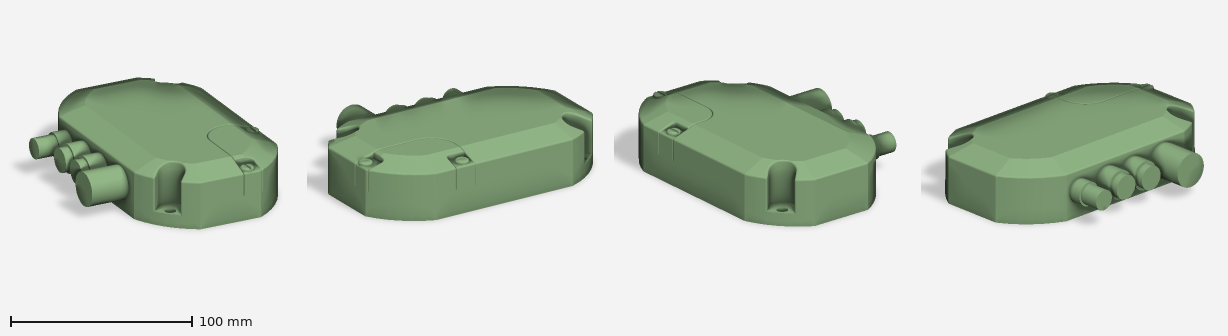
import cadquery as cq
import math

length = 149.51
width = 89.0
height = 33.0
base_height = 28.0
top_flat_inset = 14.85
straight_half_x = 45.0
straight_half_y = 18.8
corner_bulge = 3.5
rim_radius = 1.25
tolerance = 0.01

notch_center = (57.7, -28.0)
notch_radius = 7.6
notch_floor = 7.8
notch_edge_radius = 1.0
mount_hole_center = (59.85, -29.9)
mount_hole_diameter = 6.5
notch_direction = -45

cover_x = 19.2
cover_y = 8.6
cover_corner_radius = 15.0
surround_edge_radius = 1.0
cover_edge_radius = 0.9
cover_cut_floor = 15.0

pad_size_x = 12.1
pad_size_y = 11.0
pad_floor = 28.2
pad_corner_radius = 2.0
rear_pad_corner = (cover_x, width / 2 - pad_size_y)
side_pad_corner = (length / 2 - pad_size_x, cover_y)
screw_centers = [(24.5, 39.45), (70.45, 12.5)]
screw_diameter = 8.0
screw_top = 30.3
screw_edge_radius = 1.3
screw_slot_width = 1.5
screw_slot_depth = 1.0

connector_z = 16.0
connector_overlap = 1.0
connectors = [
    (-35.9, [(14.2, 8.1), (12.0, 20.2)]),
    (-14.4, [(17.2, 10.4), (14.2, 15.3)]),
    (4.8, [(17.2, 10.4), (14.2, 15.3)]),
    (28.1, [(20.0, 22.52)]),
]


def corner_arc_middle(sign_x, sign_y):
    """Middle point of the shallow arc across one corner of the outline."""
    start = (straight_half_x, width / 2)
    end = (length / 2, straight_half_y)
    chord_x = end[0] - start[0]
    chord_y = end[1] - start[1]
    chord = math.hypot(chord_x, chord_y)
    x = (start[0] + end[0]) / 2 - chord_y / chord * corner_bulge
    y = (start[1] + end[1]) / 2 + chord_x / chord * corner_bulge
    return (sign_x * x, sign_y * y)


def outline(plane_z):
    half_x = length / 2
    half_y = width / 2
    return (
        cq.Workplane("XY", origin=(0, 0, plane_z))
        .moveTo(-straight_half_x, -half_y)
        .lineTo(straight_half_x, -half_y)
        .threePointArc(corner_arc_middle(1, -1), (half_x, -straight_half_y))
        .lineTo(half_x, straight_half_y)
        .threePointArc(corner_arc_middle(1, 1), (straight_half_x, half_y))
        .lineTo(-straight_half_x, half_y)
        .threePointArc(corner_arc_middle(-1, 1), (-half_x, straight_half_y))
        .lineTo(-half_x, -straight_half_y)
        .threePointArc(corner_arc_middle(-1, -1), (-straight_half_x, -half_y))
        .close()
    )


def make_housing():
    slope_height = height - base_height
    taper = math.degrees(math.atan(top_flat_inset / slope_height))
    base = outline(0).extrude(base_height)
    top = outline(base_height).extrude(slope_height, taper=taper)
    rim_box = cq.selectors.BoxSelector(
        (-length, -width, base_height - tolerance),
        (length, width, base_height + tolerance),
        boundingbox=True,
    )
    return base.union(top).edges(rim_box).fillet(rim_radius)


def recess_walls(body, plan_min, plan_max, floor_z):
    """Upright faces that rise from floor_z and have their centre inside a plan rectangle."""
    walls = []
    for face in body.faces().vals():
        center = face.Center()
        inside = plan_min[0] < center.x < plan_max[0] and plan_min[1] < center.y < plan_max[1]
        upright = abs(face.normalAt().z) < tolerance
        on_floor = abs(face.BoundingBox().zmin - floor_z) < tolerance
        if inside and upright and on_floor:
            walls.append(face)
    return walls


def rim_edges(walls, floor_z, with_uprights):
    """Outline edges of a run of walls without those on the floor; the upright ends are optional."""
    edges = [edge for wall in walls for edge in wall.Edges()]
    rim = []
    for edge in edges:
        shared = sum(edge.isSame(other) for other in edges) > 1
        box = edge.BoundingBox()
        lowest_kept = box.zmax if with_uprights else box.zmin
        if not shared and lowest_kept > floor_z + tolerance:
            rim.append(edge)
    return rim


def cut_notch(body, sign):
    """U-shaped mounting recess open along the corner diagonal, with its screw hole."""
    center_x = sign * notch_center[0]
    center_y = sign * notch_center[1]
    open_direction = notch_direction if sign > 0 else notch_direction + 180
    slot = (
        cq.Workplane("XY", origin=(center_x, center_y, notch_floor))
        .transformed(rotate=(0, 0, open_direction))
        .moveTo(0, notch_radius)
        .threePointArc((-notch_radius, 0), (0, -notch_radius))
        .lineTo(width, -notch_radius)
        .lineTo(width, notch_radius)
        .close()
        .extrude(height)
    )
    notched = body.cut(slot)
    reach = 2 * notch_radius
    walls = recess_walls(
        notched,
        (center_x - reach, center_y - reach),
        (center_x + reach, center_y + reach),
        notch_floor,
    )
    edges = rim_edges(walls, notch_floor, with_uprights=True)
    rounded = notched.newObject(edges).fillet(notch_edge_radius)
    hole = (
        cq.Workplane("XY")
        .center(sign * mount_hole_center[0], sign * mount_hole_center[1])
        .circle(mount_hole_diameter / 2)
        .extrude(height)
    )
    return rounded.cut(hole)


def corner_prism(x, y, corner_radius, floor_z):
    """Block covering everything beyond x and y, with its inner corner rounded."""
    return (
        cq.Workplane("XY", origin=(x, y, floor_z))
        .rect(length, width, centered=False)
        .extrude(height)
        .edges("|Z and <X and <Y")
        .fillet(corner_radius)
    )


def pad_prism(corner, rounded_corner):
    """Block over one screw pad; rounded_corner selects its corner inside the cover."""
    return (
        cq.Workplane("XY", origin=(corner[0], corner[1], cover_cut_floor))
        .rect(pad_size_x, pad_size_y, centered=False)
        .extrude(height)
        .edges(rounded_corner)
        .fillet(pad_corner_radius)
    )


def cut_and_round(body, cutter, radius):
    """Cut the deep cover recess and round the top edges of the walls it leaves."""
    opened = body.cut(cutter)
    walls = recess_walls(opened, (0, 0), (length, width), cover_cut_floor)
    edges = rim_edges(walls, cover_cut_floor, with_uprights=False)
    return opened.newObject(edges).fillet(radius)


def cut_cover(body):
    """Rounded seam around the corner cover and the two flat screw pads at its ends.

    Cover and surround are cut out deep and rounded separately, so that joining them
    leaves a seam; the screw pads are then filled again up to their floors.
    """
    cover_block = corner_prism(cover_x, cover_y, cover_corner_radius, cover_cut_floor)
    around_cover = (
        cq.Workplane("XY", origin=(0, 0, cover_cut_floor))
        .rect(2 * length, 2 * width)
        .extrude(height)
        .cut(cover_block)
    )
    pads = pad_prism(rear_pad_corner, "|Z and >X and <Y").union(
        pad_prism(side_pad_corner, "|Z and <X and >Y")
    )
    surround = cut_and_round(body, cover_block, surround_edge_radius)
    cover = cut_and_round(body, around_cover.union(pads), cover_edge_radius)

    below_pad_floor = cq.Workplane("XY").rect(2 * length, 2 * width).extrude(pad_floor)
    pad_fill = pads.intersect(body).intersect(below_pad_floor)
    return surround.union(cover).union(pad_fill)


def make_screw(x, y):
    screw = (
        cq.Workplane("XY", origin=(x, y, cover_cut_floor))
        .circle(screw_diameter / 2)
        .extrude(screw_top - cover_cut_floor)
        .faces(">Z").edges()
        .fillet(screw_edge_radius)
    )
    slot = cq.Workplane("XY", origin=(x, y, screw_top)).box(
        screw_diameter, screw_slot_width, 2 * screw_slot_depth
    )
    return screw.cut(slot)


def make_connector(x, steps):
    start_y = -width / 2 + connector_overlap
    connector = cq.Workplane("XY")
    for diameter, end in steps:
        cylinder = (
            cq.Workplane("XZ", origin=(x, start_y, connector_z))
            .circle(diameter / 2)
            .extrude(end + connector_overlap)
        )
        connector = connector.union(cylinder)
    return connector


result = make_housing()
for notch_sign in (1, -1):
    result = cut_notch(result, notch_sign)
result = cut_cover(result)
for screw_x, screw_y in screw_centers:
    result = result.union(make_screw(screw_x, screw_y))
for connector_x, connector_steps in connectors:
    result = result.union(make_connector(connector_x, connector_steps))